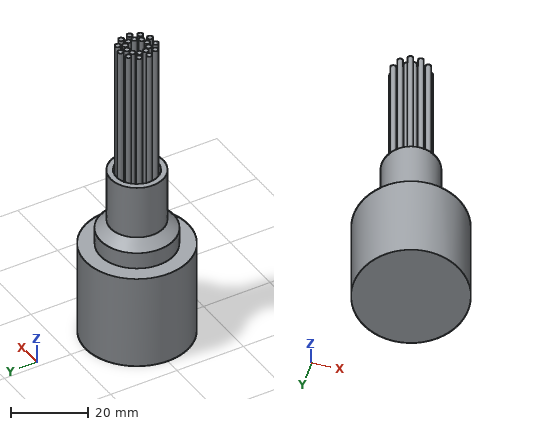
import cadquery as cq

total_height = 92.0
wire_protrusion = 40.0

base_diameter = 31.0
base_height = 28.2
collar_diameter = 22.0
collar_top = 33.2
neck_diameter = 15.8
neck_bottom = 36.0
neck_top = total_height - wire_protrusion

bore_diameter = 12.4

wire_diameter = 1.6
outer_ring_radius = 5.0
outer_ring_count = 11
inner_ring_radius = 3.0
inner_ring_count = 10
first_wire_angle = 90.0


def make_body():
    """Revolve the stepped profile with its conical shoulder around Z."""
    base_radius = base_diameter / 2
    collar_radius = collar_diameter / 2
    neck_radius = neck_diameter / 2
    profile = [
        (0, 0),
        (base_radius, 0),
        (base_radius, base_height),
        (collar_radius, base_height),
        (collar_radius, collar_top),
        (neck_radius, neck_bottom),
        (neck_radius, neck_top),
        (0, neck_top),
    ]
    return cq.Workplane("XZ").polyline(profile).close().revolve(360, (0, 0), (0, 1))


def make_bore():
    """Cylinder removed from the neck, ending level with the neck's lower edge."""
    bore_depth = neck_top - neck_bottom
    return cq.Workplane("XY", origin=(0, 0, neck_bottom)).circle(bore_diameter / 2).extrude(bore_depth)


def make_wire_ring(ring_radius, wire_count):
    """Evenly spaced wires, the first one on +Y, from the bore floor to the top."""
    return (
        cq.Workplane("XY", origin=(0, 0, neck_bottom))
        .polarArray(ring_radius, first_wire_angle, 360, wire_count)
        .circle(wire_diameter / 2)
        .extrude(total_height - neck_bottom)
    )


result = (
    make_body()
    .cut(make_bore())
    .union(make_wire_ring(outer_ring_radius, outer_ring_count))
    .union(make_wire_ring(inner_ring_radius, inner_ring_count))
)